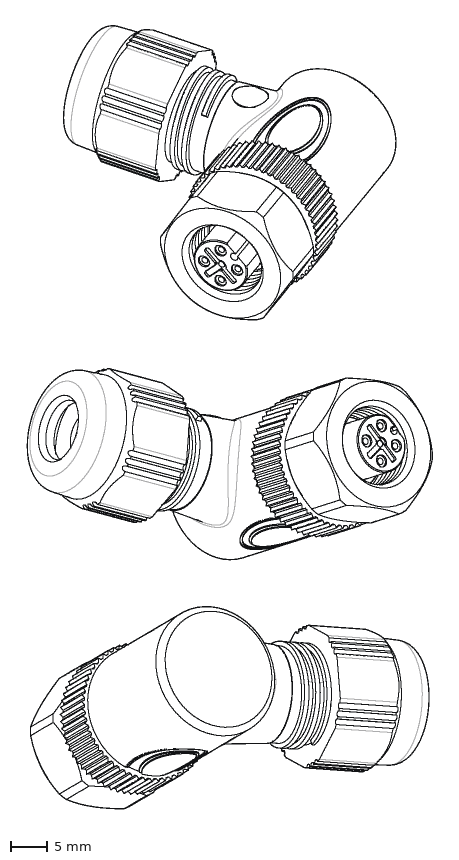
import cadquery as cq
import math


GLAND_TILT = 5.0

BODY_RADIUS = 9.25
BODY_BACK = 9.4
BODY_FRONT = -11.6
BODY_CHAMFER = 0.95

NECK_BASE_RADIUS = 7.45
NECK_END_RADIUS = 6.85
NECK_BASE = 5.0
NECK_END = 12.85
NECK_FILLET = 1.0
THREAD_ROOT_RADIUS = 6.7
THREAD_CREST_RADIUS = 7.35
THREAD_PITCH = 1.75
THREAD_START = 14.1
THREAD_START_ANGLE = 45.0
THREAD_TURNS = 2.6
THREAD_ROOT_WIDTH = 1.0
THREAD_CREST_WIDTH = 0.7
THREAD_SINK = 0.3

PAD_RADIUS = 2.5
PAD_HEIGHT = 6.8
PAD_CENTRE = 9.55
PAD_SINK = 2.0

BADGE_OUTER = (4.45, 9.3)
BADGE_OUTER_Y = -7.8
BADGE_INNER = (3.2, 6.4)
BADGE_INNER_Y = -6.6
BADGE_STEP_WIDTH = 0.35
BADGE_STEP_DEPTH = 0.15

NUT_REAR = 18.75
NUT_SHOULDER = 27.65
NUT_CHAMFER_END = 28.8
NUT_FACE = 34.0
NUT_APOTHEM = 9.4
NUT_CORNER_RADIUS = 9.85
NUT_COLLAR_RADIUS = 8.8
NUT_CAP_RADIUS = 8.55
NUT_CAP_FILLET = 1.95
NUT_GROOVE_RADIUS = 0.4
NUT_GROOVES_PER_CORNER = 3
NUT_GROOVE_STEP = 6.7
GLAND_MOUTH_RADIUS = 4.7
GLAND_BORE_RADIUS = 4.2
GLAND_MOUTH_DEPTH = 0.9
GLAND_LIP_DEPTH = 2.3
GLAND_CAVITY_RADIUS = 6.6
GLAND_CAVITY_DEPTH = 4.3
CABLE_HOLE_RADIUS = 3.15
CABLE_HOLE_DEPTH = 0.9

RING_BACK = -12.05
RING_FRONT = -18.4
RING_RADIUS = 9.93
RING_ROOT_RADIUS = 9.5
RING_TEETH = 60
RING_TOOTH_SHARE = 0.7
GAP_RADIUS = 8.35
COLLAR_RADIUS = 6.85

HEX_BACK = -18.9
HEX_FRONT = -28.3
HEX_APOTHEM = 9.0
HEX_CORNER_RADIUS = 10.05
HEX_FACE_RADIUS = 8.8
HEX_CHAMFER_LENGTH = 1.35
SOCKET_RADIUS = 6.15
SOCKET_DEPTH = 7.0
SOCKET_MOUTH_LENGTH = 0.9
SOCKET_CREST_RADIUS = 5.5
SOCKET_GROOVES = 5
SOCKET_GROOVE_PITCH = 1.0

INSERT_RADIUS = 4.05
INSERT_FRONT = -29.0
INSERT_RIM_CHAMFER = 0.15
INSERT_FLANGE_ROUND = 1.1
KEY_ANGLE = 45.0
KEY_FLAT_DISTANCE = 3.45
KEY_GROOVE_RADIUS = 0.55
KEY_GROOVE_CENTRE = 2.95
CONTACT_CIRCLE_RADIUS = 2.5
CONTACT_RECESS_RADIUS = 0.85
CONTACT_RECESS_DEPTH = 0.3
CONTACT_HOLE_RADIUS = 0.45
CONTACT_DEPTH = 5.0
SLOT_WIDTH = 0.9
SLOT_REACH = 3.1
SLOT_DEPTH = 0.4
SLOT_CORNER_RADIUS = 0.25


def polar(radius, angle):
    """Point at an angle in radians."""
    return (radius * math.cos(angle), radius * math.sin(angle))


def plug_cylinder(radius, y_back, y_front, x=0.0, z=0.0):
    """Cylinder along Y from y_back forward to y_front."""
    return cq.Workplane("XZ", origin=(x, y_back, z)).circle(radius).extrude(y_back - y_front)


def gland_revolve(profile):
    """Turn (distance, radius) points about the untilted gland axis, -X."""
    points = [(-distance, radius) for distance, radius in profile]
    return cq.Workplane("XY").polyline(points).close().revolve(360, (0, 0, 0), (1, 0, 0))


def hexagon(plane, origin, apothem, length):
    corner_diameter = 2 * apothem / math.cos(math.pi / 6)
    return cq.Workplane(plane, origin=origin).polygon(6, corner_diameter).extrude(length)


def make_housing():
    body = plug_cylinder(BODY_RADIUS, BODY_BACK, BODY_FRONT).faces(">Y").chamfer(BODY_CHAMFER)
    neck = gland_revolve([
        (0, 0),
        (0, NECK_BASE_RADIUS),
        (NECK_BASE, NECK_BASE_RADIUS),
        (NECK_END, NECK_END_RADIUS),
        (NECK_END, 0),
    ])
    housing = body.union(neck)
    joint = cq.selectors.BoxSelector(
        (-BODY_RADIUS - 0.1, -NECK_BASE_RADIUS - 0.5, -BODY_RADIUS),
        (-0.1, NECK_BASE_RADIUS + 0.5, BODY_RADIUS),
        boundingbox=True,
    )
    housing = housing.edges(joint).fillet(NECK_FILLET)
    return housing


def add_pad(housing):
    pad_plane = cq.Workplane("XY", origin=(-PAD_CENTRE, 0, PAD_HEIGHT))
    pad = pad_plane.circle(PAD_RADIUS).extrude(-PAD_SINK)
    clearance = pad_plane.circle(PAD_RADIUS).extrude(PAD_SINK)
    return housing.cut(clearance).union(pad)


def oval_prism(half_sizes, centre_y, inset=0.0):
    return (
        cq.Workplane("XY", origin=(0, centre_y, -2 * BODY_RADIUS))
        .ellipse(half_sizes[0] - inset, half_sizes[1] - inset)
        .extrude(4 * BODY_RADIUS)
    )


def body_skin(depth):
    core = plug_cylinder(BODY_RADIUS - depth, BODY_BACK, BODY_FRONT)
    return plug_cylinder(BODY_RADIUS, BODY_BACK, BODY_FRONT).cut(core)


def cut_badges(housing):
    """Sink a stepped oval band into the top and the bottom of the body."""
    shallow_band = oval_prism(BADGE_OUTER, BADGE_OUTER_Y).cut(
        oval_prism(BADGE_INNER, BADGE_INNER_Y, BADGE_STEP_WIDTH)
    )
    deep_band = oval_prism(BADGE_OUTER, BADGE_OUTER_Y, BADGE_STEP_WIDTH).cut(
        oval_prism(BADGE_INNER, BADGE_INNER_Y)
    )
    housing = housing.cut(shallow_band.intersect(body_skin(BADGE_STEP_DEPTH)))
    return housing.cut(deep_band.intersect(body_skin(2 * BADGE_STEP_DEPTH)))


def make_thread():
    core = gland_revolve([
        (NECK_END - 1, 0),
        (NECK_END - 1, THREAD_ROOT_RADIUS),
        (NUT_REAR + 1, THREAD_ROOT_RADIUS),
        (NUT_REAR + 1, 0),
    ])
    sunk_radius = THREAD_ROOT_RADIUS - THREAD_SINK
    helix = cq.Wire.makeHelix(THREAD_PITCH, THREAD_PITCH * THREAD_TURNS, sunk_radius)
    ridge = (
        cq.Workplane("XZ")
        .moveTo(sunk_radius, -THREAD_ROOT_WIDTH / 2)
        .lineTo(THREAD_CREST_RADIUS, -THREAD_CREST_WIDTH / 2)
        .lineTo(THREAD_CREST_RADIUS, THREAD_CREST_WIDTH / 2)
        .lineTo(sunk_radius, THREAD_ROOT_WIDTH / 2)
        .close()
        .sweep(cq.Workplane(helix), isFrenet=True)
    )
    ridge = ridge.rotate((0, 0, 0), (0, 1, 0), -90)
    ridge = ridge.rotate((0, 0, 0), (1, 0, 0), THREAD_START_ANGLE)
    return core.union(ridge.translate((-THREAD_START, 0, 0)))


def make_gland_nut():
    prism_length = NUT_FACE - NUT_REAR
    prism = hexagon("YZ", (-NUT_FACE, 0, 0), NUT_APOTHEM, prism_length)
    prism = prism.rotate((0, 0, 0), (1, 0, 0), 90)
    envelope = gland_revolve([
        (NUT_REAR, 0),
        (NUT_REAR, NUT_CORNER_RADIUS),
        (NUT_SHOULDER, NUT_CORNER_RADIUS),
        (NUT_CHAMFER_END, NUT_COLLAR_RADIUS),
        (NUT_CHAMFER_END, 0),
    ])
    nut = prism.intersect(envelope).cut(make_nut_grooves())
    cap = gland_revolve([
        (NUT_REAR, 0),
        (NUT_REAR, NUT_COLLAR_RADIUS),
        (NUT_CHAMFER_END, NUT_COLLAR_RADIUS),
        (NUT_FACE, NUT_CAP_RADIUS),
        (NUT_FACE, 0),
    ])
    cap = cap.faces("<X").edges().fillet(NUT_CAP_FILLET)
    return nut.union(cap)


def make_nut_grooves():
    middle = (NUT_GROOVES_PER_CORNER - 1) / 2
    angles = [
        60 * corner + 90 + NUT_GROOVE_STEP * (index - middle)
        for corner in range(6)
        for index in range(NUT_GROOVES_PER_CORNER)
    ]
    centres = [polar(NUT_CORNER_RADIUS, math.radians(angle)) for angle in angles]
    return (
        cq.Workplane("YZ", origin=(-NUT_CHAMFER_END, 0, 0))
        .pushPoints(centres)
        .circle(NUT_GROOVE_RADIUS)
        .extrude(NUT_CHAMFER_END - NUT_REAR)
    )


def make_gland_bore():
    cavity_floor = NUT_FACE - GLAND_CAVITY_DEPTH
    hole_floor = cavity_floor - CABLE_HOLE_DEPTH
    return gland_revolve([
        (NUT_FACE, 0),
        (NUT_FACE, GLAND_MOUTH_RADIUS),
        (NUT_FACE - GLAND_MOUTH_DEPTH, GLAND_BORE_RADIUS),
        (NUT_FACE - GLAND_LIP_DEPTH, GLAND_BORE_RADIUS),
        (NUT_FACE - GLAND_LIP_DEPTH, GLAND_CAVITY_RADIUS),
        (cavity_floor, GLAND_CAVITY_RADIUS),
        (cavity_floor, CABLE_HOLE_RADIUS),
        (hole_floor, CABLE_HOLE_RADIUS),
        (hole_floor, 0),
    ])


def make_knurled_ring():
    outline = []
    pitch = 2 * math.pi / RING_TEETH
    half_tooth = pitch * RING_TOOTH_SHARE / 2
    for index in range(RING_TEETH):
        peak = math.pi / 2 + index * pitch
        outline.append(polar(RING_ROOT_RADIUS, peak - half_tooth))
        outline.append(polar(RING_RADIUS, peak))
        outline.append(polar(RING_ROOT_RADIUS, peak + half_tooth))
    ring = (
        cq.Workplane("XZ", origin=(0, RING_BACK, 0))
        .polyline(outline)
        .close()
        .extrude(RING_BACK - RING_FRONT)
    )
    gap = plug_cylinder(GAP_RADIUS, BODY_FRONT + 1, RING_BACK - 1)
    collar = plug_cylinder(COLLAR_RADIUS, RING_FRONT + 1, HEX_BACK - 1)
    return ring.union(gap).union(collar)


def make_coupling_hex():
    prism = hexagon("XZ", (0, HEX_BACK, 0), HEX_APOTHEM, HEX_BACK - HEX_FRONT)
    envelope = (
        cq.Workplane("XY")
        .polyline([
            (0, HEX_BACK),
            (HEX_FACE_RADIUS, HEX_BACK),
            (HEX_CORNER_RADIUS, HEX_BACK - HEX_CHAMFER_LENGTH),
            (HEX_CORNER_RADIUS, HEX_FRONT + HEX_CHAMFER_LENGTH),
            (HEX_FACE_RADIUS, HEX_FRONT),
            (0, HEX_FRONT),
        ])
        .close()
        .revolve(360, (0, 0, 0), (0, 1, 0))
    )
    return prism.intersect(envelope).cut(make_socket())


def make_socket():
    """Bore with a chamfered mouth and V grooves standing for its thread."""
    profile = [(0, HEX_FRONT), (SOCKET_RADIUS, HEX_FRONT)]
    y = HEX_FRONT + SOCKET_MOUTH_LENGTH
    profile.append((SOCKET_CREST_RADIUS, y))
    for _ in range(SOCKET_GROOVES):
        profile.append((SOCKET_RADIUS, y + SOCKET_GROOVE_PITCH / 2))
        y += SOCKET_GROOVE_PITCH
        profile.append((SOCKET_CREST_RADIUS, y))
    profile.append((SOCKET_CREST_RADIUS, HEX_FRONT + SOCKET_DEPTH))
    profile.append((0, HEX_FRONT + SOCKET_DEPTH))
    return cq.Workplane("XY").polyline(profile).close().revolve(360, (0, 0, 0), (0, 1, 0))


def make_insert():
    socket_floor = HEX_FRONT + SOCKET_DEPTH
    insert = plug_cylinder(INSERT_RADIUS, socket_floor + 1, INSERT_FRONT)
    insert = insert.faces("<Y").edges().chamfer(INSERT_RIM_CHAMFER)
    insert = cut_key(insert).union(make_insert_flange(socket_floor))
    for angle in (135, 225, 315):
        slot = (
            cq.Workplane("XZ", origin=(0, INSERT_FRONT + SLOT_DEPTH, 0))
            .moveTo(0, -SLOT_WIDTH / 2)
            .lineTo(SLOT_REACH, -SLOT_WIDTH / 2)
            .lineTo(SLOT_REACH, SLOT_WIDTH / 2)
            .lineTo(0, SLOT_WIDTH / 2)
            .close()
            .extrude(SLOT_DEPTH)
            .edges(">X and |Y")
            .fillet(SLOT_CORNER_RADIUS)
        )
        insert = insert.cut(slot.rotate((0, 0, 0), (0, 1, 0), -angle))
    contacts = [(0, 0)]
    for quarter in range(4):
        contacts.append(polar(CONTACT_CIRCLE_RADIUS, quarter * math.pi / 2))
    for x, z in contacts:
        recess_floor = INSERT_FRONT + CONTACT_RECESS_DEPTH
        hole_floor = INSERT_FRONT + CONTACT_DEPTH
        insert = insert.cut(plug_cylinder(CONTACT_RECESS_RADIUS, recess_floor, INSERT_FRONT, x, z))
        insert = insert.cut(plug_cylinder(CONTACT_HOLE_RADIUS, hole_floor, INSERT_FRONT, x, z))
    return insert


def cut_key(insert):
    """Coding flat with a round groove along the side of the insert."""
    floor = HEX_FRONT + SOCKET_DEPTH
    length = floor - INSERT_FRONT
    flat = (
        cq.Workplane("XZ", origin=(0, floor, 0))
        .center(KEY_FLAT_DISTANCE + INSERT_RADIUS / 2, 0)
        .rect(INSERT_RADIUS, 2 * INSERT_RADIUS)
        .extrude(length)
    )
    groove = plug_cylinder(KEY_GROOVE_RADIUS, floor, INSERT_FRONT, KEY_GROOVE_CENTRE)
    return insert.cut(flat.union(groove).rotate((0, 0, 0), (0, 1, 0), -KEY_ANGLE))


def make_insert_flange(floor):
    outer = INSERT_RADIUS + INSERT_FLANGE_ROUND
    start = floor - INSERT_FLANGE_ROUND
    bend = INSERT_FLANGE_ROUND * math.sqrt(0.5)
    return (
        cq.Workplane("XY")
        .moveTo(KEY_FLAT_DISTANCE, start)
        .lineTo(INSERT_RADIUS, start)
        .threePointArc((INSERT_RADIUS + bend, floor - bend), (outer, floor))
        .lineTo(KEY_FLAT_DISTANCE, floor)
        .close()
        .revolve(360, (0, 0, 0), (0, 1, 0))
    )


gland = make_thread().union(make_gland_nut()).cut(make_gland_bore())
housing = add_pad(cut_badges(make_housing())).union(gland)
housing = housing.rotate((0, 0, 0), (0, 1, 0), GLAND_TILT)
result = housing.union(make_knurled_ring()).union(make_coupling_hex()).union(make_insert())